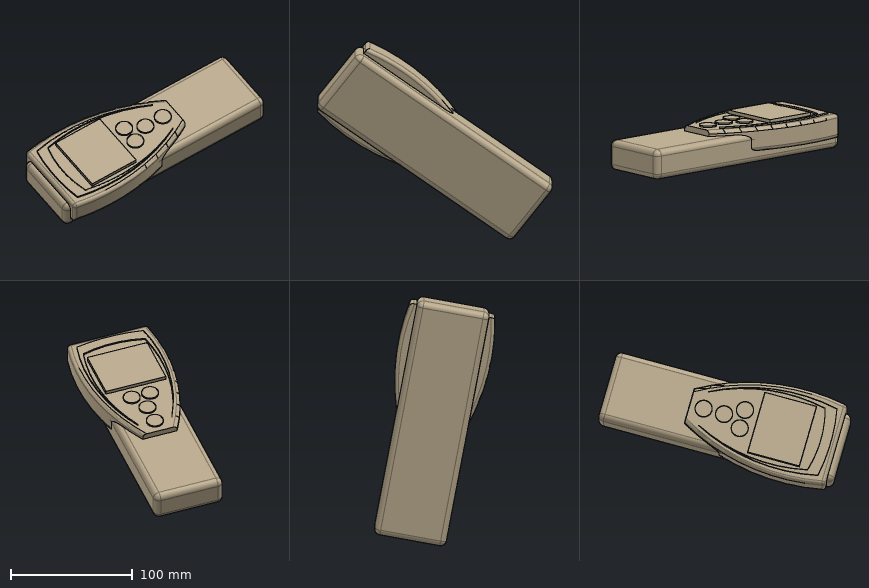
import cadquery as cq

HANDLE_WIDTH = 60.0
HANDLE_LENGTH = 200.0
HANDLE_HEIGHT = 25.0
HANDLE_RADIUS = 5.0

HEAD_FRONT_Y = -HANDLE_LENGTH / 2 + HANDLE_RADIUS
HEAD_BACK_Y = 30.0
HEAD_WIDEST_Y = -58.0
HEAD_BACK_HALF_WIDTH = 15.0
HEAD_MAX_HALF_WIDTH = 38.8
HEAD_FRONT_HALF_WIDTH = 35.0
HEAD_BOTTOM_Z = 10.0
HEAD_TOP_Z = 30.0
HEAD_RADIUS = 3.0

TRIM_HEIGHT = 1.2
TRIM_TIP = (14.8, 18.0)
TRIM_OUTER_SIDE = (32.8, -53.0)
TRIM_OUTER_CORNER = (29.2, -87.5)
TRIM_OUTER_FRONT_Y = -90.2
TRIM_INNER_SIDE = (30.5, -50.0)
TRIM_INNER_CORNER = (27.0, -78.0)
TRIM_INNER_FRONT_Y = -81.8

SCREEN_WIDTH = 52.5
SCREEN_LENGTH = 44.0
SCREEN_HEIGHT = 3.0
SCREEN_CENTER_Y = -48.8

BUTTON_DIAMETER = 14.0
BUTTON_HEIGHT = TRIM_HEIGHT
BUTTON_PAIR_X = 8.0
BUTTON_PAIR_Y = -15.0
BUTTON_CENTERS = [
    (0, 18.0),
    (0, 0.5),
    (-BUTTON_PAIR_X, BUTTON_PAIR_Y),
    (BUTTON_PAIR_X, BUTTON_PAIR_Y),
]


def mirrored(point):
    """Return the point reflected across the X = 0 centreline."""
    x, y = point
    return (-x, y)


def make_handle():
    box = cq.Workplane("XY").box(
        HANDLE_WIDTH, HANDLE_LENGTH, HANDLE_HEIGHT, centered=(True, True, False)
    )
    return box.edges().fillet(HANDLE_RADIUS)


def make_head(handle):
    back = (HEAD_BACK_HALF_WIDTH, HEAD_BACK_Y)
    widest = (HEAD_MAX_HALF_WIDTH, HEAD_WIDEST_Y)
    front = (HEAD_FRONT_HALF_WIDTH, HEAD_FRONT_Y)
    head = (
        cq.Workplane("XY", origin=(0, 0, HEAD_BOTTOM_Z))
        .moveTo(*mirrored(back))
        .lineTo(*back)
        .threePointArc(widest, front)
        .lineTo(*mirrored(front))
        .threePointArc(mirrored(widest), mirrored(back))
        .close()
        .extrude(HEAD_TOP_Z - HEAD_BOTTOM_Z)
    )
    side_edges = head.faces("<Z or >Z").edges("not |X")
    front_corners = head.faces("<Y").edges("|Z")
    front_top_edge = head.faces("<Y").edges(">Z")
    head = side_edges.add(front_corners).add(front_top_edge).fillet(HEAD_RADIUS)
    return head.cut(handle)


def make_trim():
    return (
        cq.Workplane("XY", origin=(0, 0, HEAD_TOP_Z))
        .moveTo(*TRIM_TIP)
        .threePointArc(TRIM_OUTER_SIDE, TRIM_OUTER_CORNER)
        .threePointArc((0, TRIM_OUTER_FRONT_Y), mirrored(TRIM_OUTER_CORNER))
        .threePointArc(mirrored(TRIM_OUTER_SIDE), mirrored(TRIM_TIP))
        .threePointArc(mirrored(TRIM_INNER_SIDE), mirrored(TRIM_INNER_CORNER))
        .threePointArc((0, TRIM_INNER_FRONT_Y), TRIM_INNER_CORNER)
        .threePointArc(TRIM_INNER_SIDE, TRIM_TIP)
        .close()
        .extrude(TRIM_HEIGHT)
    )


def make_screen():
    return cq.Workplane("XY", origin=(0, SCREEN_CENTER_Y, HEAD_TOP_Z)).box(
        SCREEN_WIDTH, SCREEN_LENGTH, SCREEN_HEIGHT, centered=(True, True, False)
    )


def make_button(center):
    x, y = center
    return (
        cq.Workplane("XY", origin=(x, y, HEAD_TOP_Z))
        .circle(BUTTON_DIAMETER / 2)
        .extrude(BUTTON_HEIGHT)
    )


handle = make_handle()
head = make_head(handle)
trim = make_trim()
screen = make_screen()
buttons = [make_button(center).val() for center in BUTTON_CENTERS]

result = cq.Compound.makeCompound(
    [*handle.vals(), *head.vals(), *trim.vals(), *screen.vals(), *buttons]
)